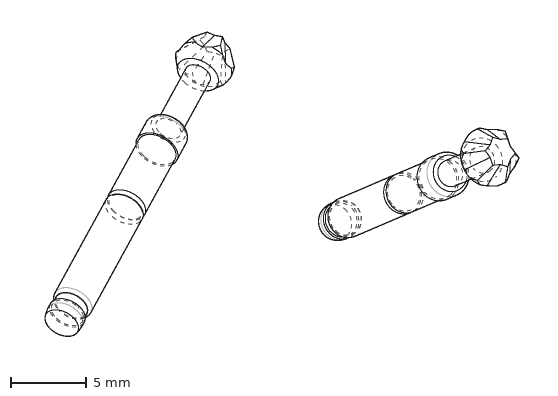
import cadquery as cq
import math

total_length = 27.3

cap_length = 1.0
cap_rounding_length = 0.6
neck_length = 0.7
body_rounding_length = 0.27
groove_center_y = 11.35
groove_width = 0.4
collar_rear_y = 16.98
collar_length = 2.05
collar_rounding_length = 0.4
head_length = 3.0
head_cone_length = 1.0

cap_radius = 1.28
cap_end_radius = 1.2
neck_radius = 1.15
groove_radius = 1.2
body_radius = 1.36
body_rear_radius = 1.17
collar_radius = 1.5
collar_front_radius = 1.23
stem_radius = 0.9
head_radius = 4.0 / 2
head_rear_radius = 1.47

ridge_count = 6
tip_ridge_radius = 1.1
tip_valley_radius = 0.85
ridge_slope = 0.62

neck_front_y = cap_length + neck_length
collar_front_y = collar_rear_y + collar_length
head_rear_y = total_length - head_length


def tangent_arc_radius(length, drop):
    """Radius of an arc that leaves a cylinder tangentially and drops by an amount over a length."""
    return (length**2 + drop**2) / (2 * drop)


def make_barrel():
    """Rear cap, neck, grooved body, collar and plunger stem as one turned shape."""
    cap_arc_radius = tangent_arc_radius(cap_rounding_length, cap_radius - cap_end_radius)
    body_arc_radius = tangent_arc_radius(body_rounding_length, body_radius - body_rear_radius)
    collar_arc_radius = tangent_arc_radius(collar_rounding_length, collar_radius - collar_front_radius)
    body_rounding_y = neck_front_y + body_rounding_length
    collar_rounding_y = collar_front_y - collar_rounding_length
    profile = (
        cq.Workplane("XY")
        .moveTo(0, 0)
        .lineTo(cap_end_radius, 0)
        .radiusArc((cap_radius, cap_rounding_length), -cap_arc_radius)
        .lineTo(cap_radius, cap_length)
        .lineTo(neck_radius, cap_length)
        .lineTo(neck_radius, neck_front_y)
        .lineTo(body_rear_radius, neck_front_y)
        .radiusArc((body_radius, body_rounding_y), -body_arc_radius)
        .lineTo(body_radius, groove_center_y - groove_width / 2)
        .threePointArc((groove_radius, groove_center_y), (body_radius, groove_center_y + groove_width / 2))
        .lineTo(body_radius, collar_rear_y)
        .lineTo(collar_radius, collar_rear_y)
        .lineTo(collar_radius, collar_rounding_y)
        .radiusArc((collar_front_radius, collar_front_y), -collar_arc_radius)
        .lineTo(stem_radius, collar_front_y)
        .lineTo(stem_radius, head_rear_y)
        .lineTo(0, head_rear_y)
        .close()
    )
    return profile.revolve(360, (0, 0), (0, 1))


def star_points(scale):
    """Corners of the crown section, ridge and valley in turn, with a ridge on +X."""
    points = []
    for index in range(2 * ridge_count):
        radius = tip_valley_radius if index % 2 else tip_ridge_radius
        angle = math.pi * index / ridge_count
        points.append((scale * radius * math.cos(angle), scale * radius * math.sin(angle)))
    return points


def make_head():
    """Turned blank with a conical rear, trimmed to the faceted crown."""
    blank = (
        cq.Workplane("XY")
        .moveTo(0, head_rear_y)
        .lineTo(head_rear_radius, head_rear_y)
        .lineTo(head_radius, head_rear_y + head_cone_length)
        .lineTo(head_radius, total_length)
        .lineTo(0, total_length)
        .close()
        .revolve(360, (0, 0), (0, 1))
    )
    rear_scale = 1 + ridge_slope * head_length / tip_ridge_radius
    crown = (
        cq.Workplane("XZ", origin=(0, total_length, 0))
        .polyline(star_points(1))
        .close()
        .workplane(offset=head_length)
        .polyline(star_points(rear_scale))
        .close()
        .loft(ruled=True)
    )
    return blank.intersect(crown)


result = make_barrel().union(make_head())